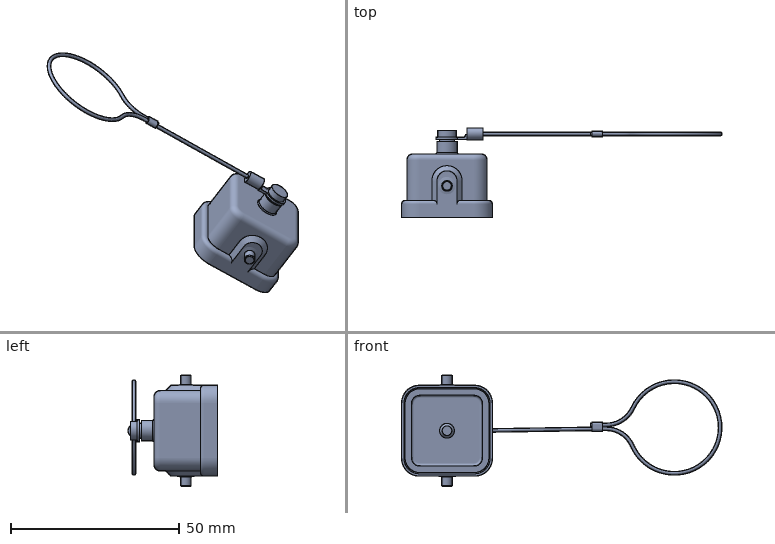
import cadquery as cq
import math


flange_side = 27.0
flange_corner = 5.3
flange_depth = 5.1
flange_edge = 1.1
body_side = 23.9
body_corner = 3.8
body_back = 18.9
body_edge = 1.9

recess_side = 25.6
recess_corner = 4.7
recess_depth = 1.7
recess_draft = 0.4

cavity_side = 21.1
cavity_corner = 2.6
cavity_floor = 18.0
cavity_draft = 0.2
cavity_edge = 0.7

pad_round_y = 10.9
pad_base_radius = 4.5
pad_top_radius = 2.95
pad_front = 1.9
pad_root = 0.4
pin_y = 9.4
pin_diameter = 3.1
pin_span = 33.2
pin_chamfer = 0.3
pin_root = 0.5
collar_base_radius = 2.6
collar_height = 0.2

foot_radius = 3.3
foot_height = 0.4
knob_radius = 3.0
knob_back = 22.7
neck_radius = 2.3
tab_radius = 3.3
tab_front = 23.1
tab_thickness = 0.8
head_radius = 2.8
head_back = 25.9
rivet_base_radius = 2.2
rivet_tip_radius = 1.4
rivet_height = 0.95

ferrule_radius = 1.8
ferrule_start = 5.9
ferrule_end = 10.8
lug_width = 2.3
lug_height = 0.9
lug_end = 0.5
lug_curl = 0.6

wire_radius = 0.55
wire_gap = 0.05
cable_y = 24.8
lower_wire_z = 0.6
sleeve_start = 43.0
sleeve_end = 46.2
sleeve_wall = 0.3
stub_length = 0.5
split_x = 47.3
loop_radius = 13.6
loop_z = 0.95
part_length = 95.2

pin_radius = pin_diameter / 2
upper_wire_z = lower_wire_z + 2 * wire_radius + wire_gap
sleeve_middle = (sleeve_start + sleeve_end) / 2
loop_x = part_length - flange_side / 2 - wire_radius - loop_radius


def draft_angle(inset, depth):
    return math.degrees(math.atan2(inset, depth))


def rounded_square(side, corner, front, back, draft=0.0):
    """Square block with rounded corners, from front to back along Y."""
    outline = cq.Sketch().rect(side, side).vertices().fillet(corner)
    plane = cq.Plane(origin=(0, front, 0), xDir=(-1, 0, 0), normal=(0, 1, 0))
    return cq.Workplane(plane).placeSketch(outline).extrude(back - front, taper=draft)


def make_shell():
    flange = rounded_square(flange_side, flange_corner, 0, flange_depth)
    flange = flange.faces(">Y").edges().fillet(flange_edge)
    body = rounded_square(body_side, body_corner, 0, body_back)
    body = body.faces(">Y").edges().fillet(body_edge)
    return flange.union(body)


def make_hollow():
    recess_angle = draft_angle(recess_draft, recess_depth)
    recess = rounded_square(recess_side, recess_corner, 0, recess_depth, recess_angle)
    cavity_angle = draft_angle(cavity_draft, cavity_floor)
    cavity = rounded_square(cavity_side, cavity_corner, 0, cavity_floor, cavity_angle)
    cavity = cavity.faces(">Y").edges().fillet(cavity_edge)
    return recess.union(cavity)


def make_pin_mount():
    """Sloped pad, conical collar and pin of the top side."""
    pad_top = flange_side / 2
    pad_base = body_side / 2
    slope = (pad_base_radius - pad_top_radius) / (pad_top - pad_base)
    root_radius = pad_base_radius + pad_root * slope
    pad = (
        cq.Workplane("XY", origin=(0, 0, pad_base - pad_root))
        .moveTo(-root_radius, pad_front)
        .lineTo(root_radius, pad_front)
        .lineTo(root_radius, pad_round_y)
        .threePointArc((0, pad_round_y + root_radius), (-root_radius, pad_round_y))
        .close()
        .extrude(pad_top - pad_base + pad_root, taper=math.degrees(math.atan(slope)))
    )
    cone_tip = pad_top + collar_height * collar_base_radius / (collar_base_radius - pin_radius)
    collar = (
        cq.Workplane("XZ")
        .polyline([(0, pad_top), (collar_base_radius, pad_top), (0, cone_tip)])
        .close()
        .revolve(360, (0, 0), (0, 1))
        .translate((0, pin_y, 0))
    )
    pin_bottom = pad_base - pin_root
    pin = (
        cq.Workplane("XY", origin=(0, pin_y, pin_bottom))
        .circle(pin_radius)
        .extrude(pin_span / 2 - pin_bottom)
        .faces(">Z")
        .chamfer(pin_chamfer)
    )
    return pad.union(collar).union(pin)


def make_knob():
    """Foot, knob, neck, tab disc and head as one turned profile."""
    foot_back = body_back + foot_height
    tab_back = tab_front + tab_thickness
    wall_inside = (cavity_floor + body_back) / 2
    profile = [
        (0, wall_inside),
        (foot_radius, wall_inside),
        (foot_radius, body_back),
        (knob_radius, foot_back),
        (knob_radius, knob_back),
        (neck_radius, knob_back),
        (neck_radius, tab_front),
        (tab_radius, tab_front),
        (tab_radius, tab_back),
        (head_radius, tab_back),
        (head_radius, head_back),
        (0, head_back),
    ]
    return cq.Workplane("XY").polyline(profile).close().revolve(360, (0, 0), (0, 1))


def make_rivet():
    """Conical rivet end of the knob on the cavity floor."""
    rivet_tip = cavity_floor - rivet_height
    return (
        cq.Workplane("XY")
        .polyline([
            (0, rivet_tip),
            (rivet_tip_radius, rivet_tip),
            (rivet_base_radius, cavity_floor),
            (0, cavity_floor),
        ])
        .close()
        .revolve(360, (0, 0), (0, 1))
    )


def make_ferrule():
    """Crimped ferrule with the tab's curled lug running into it."""
    ferrule = (
        cq.Workplane("YZ", origin=(ferrule_start, cable_y, 0))
        .circle(ferrule_radius)
        .extrude(ferrule_end - ferrule_start)
    )
    tab_back = tab_front + tab_thickness
    curl_x = ferrule_start - lug_end
    lug = (
        cq.Workplane("XY")
        .moveTo(0, tab_front)
        .lineTo(ferrule_start, tab_front)
        .lineTo(ferrule_start, tab_back + lug_height)
        .lineTo(curl_x, tab_back + lug_height)
        .lineTo(curl_x, tab_back + lug_curl)
        .radiusArc((curl_x - lug_curl, tab_back), lug_curl)
        .lineTo(0, tab_back)
        .close()
        .extrude(lug_width / 2, both=True)
    )
    return ferrule.union(lug)


def make_cable():
    """Straight wire from inside the ferrule to inside the sleeve."""
    ferrule_middle = (ferrule_start + ferrule_end) / 2
    start = cq.Vector(ferrule_middle, cable_y, 0)
    end = cq.Vector(sleeve_middle, cable_y, lower_wire_z)
    run = end - start
    plane = cq.Plane(origin=start, xDir=(0, 1, 0), normal=run)
    return cq.Workplane(plane).circle(wire_radius).extrude(run.Length)


def blend_arc(wire_z, side):
    """Middle and end of the arc leading a straight wire at wire_z into the loop; side is +1 or -1 in Z."""
    run = loop_x - split_x
    offset = side * (wire_z - loop_z)
    radius = (run**2 + offset**2 - loop_radius**2) / (2 * (loop_radius - offset))
    centre_z = offset + radius
    share = loop_radius / (loop_radius + radius)
    sweep = math.atan2(run, centre_z)
    middle_x = split_x + radius * math.sin(sweep / 2)
    middle_z = centre_z - radius * math.cos(sweep / 2)
    end_x = loop_x - share * run
    end_z = share * centre_z
    return (middle_x, loop_z + side * middle_z), (end_x, loop_z + side * end_z)


def make_loop():
    """Wire from the stub, around the loop and back into the sleeve."""
    upper_middle, upper_end = blend_arc(upper_wire_z, 1)
    lower_middle, lower_end = blend_arc(lower_wire_z, -1)
    stub_x = sleeve_start - stub_length
    path = (
        cq.Workplane("XZ", origin=(0, cable_y, 0))
        .moveTo(stub_x, upper_wire_z)
        .lineTo(split_x, upper_wire_z)
        .threePointArc(upper_middle, upper_end)
        .threePointArc((loop_x + loop_radius, loop_z), lower_end)
        .threePointArc(lower_middle, (split_x, lower_wire_z))
        .lineTo(sleeve_middle, lower_wire_z)
    )
    section = cq.Workplane("YZ", origin=(stub_x, cable_y, upper_wire_z)).circle(wire_radius)
    return section.sweep(path)


def make_sleeve():
    """Oval sleeve that clamps the two wires side by side."""
    spacing = upper_wire_z - lower_wire_z
    outer_radius = wire_radius + sleeve_wall
    return (
        cq.Workplane("YZ", origin=(sleeve_start, cable_y, (upper_wire_z + lower_wire_z) / 2))
        .slot2D(spacing + 2 * outer_radius, 2 * outer_radius, 90)
        .extrude(sleeve_end - sleeve_start)
    )


pin_mount = make_pin_mount()
cap = make_shell().union(pin_mount).union(pin_mount.mirror("XY"))
cap = cap.cut(make_hollow()).union(make_rivet())
tether = make_ferrule().union(make_cable()).union(make_sleeve()).union(make_loop())
result = cap.union(make_knob()).union(tether)